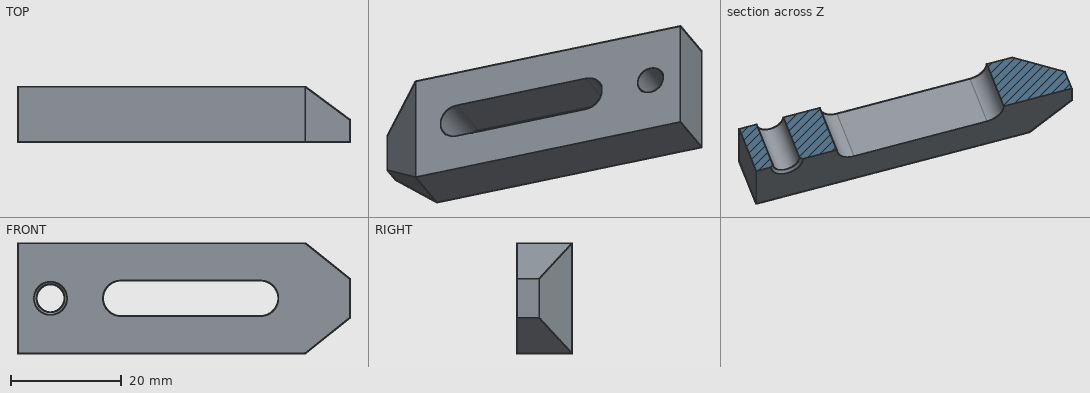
import cadquery as cq

length = 60.0
thickness = 10.0
height = 20.0

nose_length = 8.1
tip_height = 7.0
tip_thickness = 4.0

slot_length = 31.6
slot_width = 6.35
slot_center_x = 31.2

hole_x = 5.9
hole_diameter = 5.0
countersink_diameter = 6.0
countersink_angle = 90.0

nose_start = length - nose_length
mid_height = height / 2
front_y = 0.0


def bar_body():
    """Bar narrowed in height towards the tip, front face on Y = 0."""
    tip_bottom = mid_height - tip_height / 2
    tip_top = mid_height + tip_height / 2
    outline = [
        (0, 0),
        (nose_start, 0),
        (length, tip_bottom),
        (length, tip_top),
        (nose_start, height),
        (0, height),
    ]
    return cq.Workplane("XZ").polyline(outline).close().extrude(-thickness)


def nose_back_wedge():
    """Material removed behind the nose to thin it towards the tip."""
    corners = [
        (nose_start, thickness),
        (length, tip_thickness),
        (length, thickness),
    ]
    return cq.Workplane("XY").polyline(corners).close().extrude(height)


def front_point(x):
    """Workplane on the front face, centred at x and mid height."""
    return cq.Workplane("XZ", origin=(x, front_y, mid_height))


slot = front_point(slot_center_x).slot2D(slot_length, slot_width).extrude(-thickness)

result = bar_body().cut(nose_back_wedge()).cut(slot)
result = (
    result.faces("<Y")
    .workplane(origin=(hole_x, front_y, mid_height))
    .cskHole(hole_diameter, countersink_diameter, countersink_angle)
)